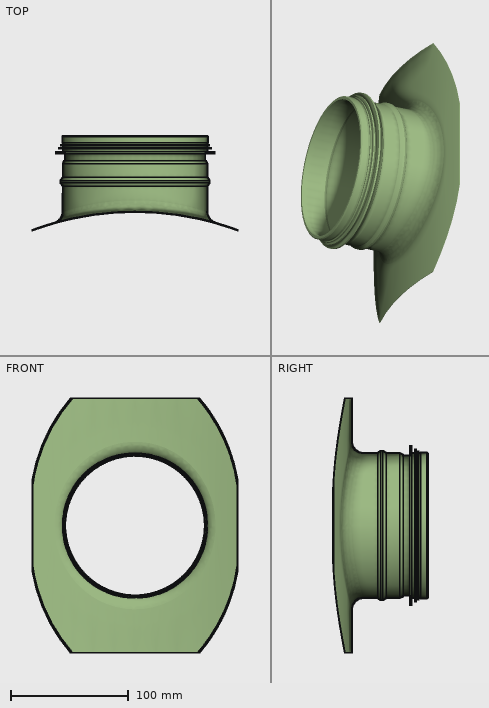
import cadquery as cq
import math

length = 80.5
flange_width = 174.0
flange_height = 216.0
sheet = 0.55

saddle_radius = 250.0
saddle_outer_radius = saddle_radius + sheet
corner_half_width = 54.5
side_half_height = 38.9
corner_bulge = 5.2
edge_bevel_width = 1.0
edge_bevel_depth = 0.5

body_radius = 123.1 / 2
neck_radius = 119.2 / 2
shoulder_radius = 120.5 / 2
lip_radius = 124.0 / 2
body_bore_radius = body_radius - sheet
neck_bore_radius = neck_radius - sheet
flare_radius = 9.5

lip_width = 6.0
lip_chamfer = 0.9
gasket_end = 15.3
shoulder_start = 21.2
shoulder_end = 24.0
bead_center = 39.0
bead_half_width = 3.7
bead_height = 2.0
bead_flat_half_width = 0.9
bead_foot = 0.5

fins = [
    (8.0, 0.6, 126.0 / 2),
    (10.2, 1.0, 129.4 / 2),
    (13.8, gasket_end - 13.8, 135.0 / 2),
]

saddle_axis_y = -math.sqrt(saddle_radius**2 - (flange_width / 2) ** 2)


def ring(inner_radius, outer_radius, start, width):
    """Plain ring about Y whose near face lies `start` from the socket end."""
    return (
        cq.Workplane("XZ", origin=(0, length - start, 0))
        .circle(outer_radius)
        .circle(inner_radius)
        .extrude(width)
    )


def flared_form(saddle, tube, flare):
    """Solid saddle cylinder joined to a solid tube by a flare fillet."""
    saddle_solid = (
        cq.Workplane("XY", origin=(0, saddle_axis_y, -flange_height))
        .circle(saddle)
        .extrude(2 * flange_height)
    )
    tube_top = length - shoulder_end
    tube_solid = cq.Workplane("XZ", origin=(0, tube_top, 0)).circle(tube).extrude(tube_top - saddle_axis_y)
    seam_reach = tube + 2.2
    seam_box = cq.selectors.BoxSelector(
        (-seam_reach, 0, -seam_reach),
        (seam_reach, tube_top - 2.2, seam_reach),
        boundingbox=True,
    )
    return saddle_solid.union(tube_solid).edges(seam_box).fillet(flare)


def outline_prism():
    """Flange outline: flat ends and sides joined by four bulged corners."""
    half_width = flange_width / 2
    half_height = flange_height / 2
    run = half_width - corner_half_width
    rise = half_height - side_half_height
    chord = math.hypot(run, rise)
    bulge_x = (half_width + corner_half_width) / 2 + corner_bulge * rise / chord
    bulge_z = (half_height + side_half_height) / 2 + corner_bulge * run / chord
    return (
        cq.Workplane("XZ", origin=(0, length, 0))
        .moveTo(-corner_half_width, half_height)
        .lineTo(corner_half_width, half_height)
        .threePointArc((bulge_x, bulge_z), (half_width, side_half_height))
        .lineTo(half_width, -side_half_height)
        .threePointArc((bulge_x, -bulge_z), (corner_half_width, -half_height))
        .lineTo(-corner_half_width, -half_height)
        .threePointArc((-bulge_x, -bulge_z), (-half_width, -side_half_height))
        .lineTo(-half_width, side_half_height)
        .threePointArc((-bulge_x, bulge_z), (-corner_half_width, half_height))
        .close()
        .extrude(2 * length)
    )


class ConcaveCornerEdges(cq.Selector):
    """Edges of the bulged corners that lie on the concave saddle face."""

    def filter(self, edges):
        tolerance = 0.02
        picked = []
        for edge in edges:
            middle = edge.positionAt(0.5)
            axis_distance = math.hypot(middle.x, middle.y - saddle_axis_y)
            on_concave_face = abs(axis_distance - saddle_radius) < tolerance
            on_corner_x = corner_half_width < abs(middle.x) < flange_width / 2 - tolerance
            on_corner_z = side_half_height < abs(middle.z) < flange_height / 2 - tolerance
            if on_concave_face and on_corner_x and on_corner_z:
                picked.append(edge)
        return picked


def saddle_with_tube():
    outside = flared_form(saddle_outer_radius, body_radius, flare_radius)
    inside = flared_form(saddle_radius, body_bore_radius, flare_radius + sheet)
    shell = outside.cut(inside).intersect(outline_prism())
    return shell.edges(ConcaveCornerEdges()).chamfer(edge_bevel_depth, edge_bevel_width)


def socket_end():
    """Lip, gasket seat, neck and conical shoulder, revolved about Y."""
    lip_end_y = length - lip_width
    shoulder_start_y = length - shoulder_start
    shoulder_end_y = length - shoulder_end
    return (
        cq.Workplane("XY")
        .moveTo(neck_bore_radius, length)
        .lineTo(lip_radius - lip_chamfer, length)
        .lineTo(lip_radius, length - lip_chamfer)
        .lineTo(lip_radius, lip_end_y)
        .lineTo(neck_radius, lip_end_y)
        .lineTo(neck_radius, shoulder_start_y)
        .lineTo(shoulder_radius, shoulder_start_y)
        .lineTo(body_radius, shoulder_end_y)
        .lineTo(body_bore_radius, shoulder_end_y)
        .lineTo(neck_bore_radius, shoulder_start_y)
        .close()
        .revolve(360, (0, 0, 0), (0, 1, 0))
    )


def bead():
    """Stop bead with a flat crest and bevelled flanks around the sleeve."""
    center_y = length - bead_center
    crest_radius = body_radius + bead_height
    root_radius = body_radius - sheet / 2
    return (
        cq.Workplane("XY")
        .moveTo(root_radius, center_y - bead_half_width)
        .lineTo(body_radius, center_y - bead_half_width)
        .lineTo(body_radius + bead_foot, center_y - bead_half_width + bead_foot)
        .lineTo(crest_radius, center_y - bead_flat_half_width)
        .lineTo(crest_radius, center_y + bead_flat_half_width)
        .lineTo(body_radius + bead_foot, center_y + bead_half_width - bead_foot)
        .lineTo(body_radius, center_y + bead_half_width)
        .lineTo(root_radius, center_y + bead_half_width)
        .close()
        .revolve(360, (0, 0, 0), (0, 1, 0))
    )


def finned_gasket():
    gasket_body = ring(neck_radius, body_radius, lip_width, gasket_end - lip_width)
    for start, thickness, radius in fins:
        gasket_body = gasket_body.union(ring(neck_radius, radius, start, thickness))
    return gasket_body


sleeve = saddle_with_tube().union(socket_end()).union(bead())
gasket = finned_gasket()

result = cq.Compound.makeCompound([sleeve.val(), gasket.val()])